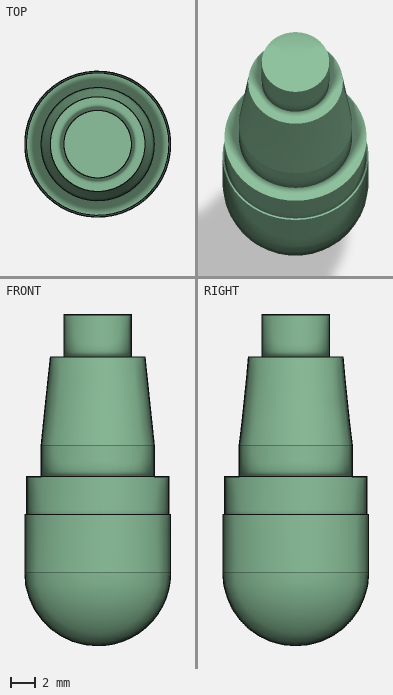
import cadquery as cq
import math

cap_diameter = 12.0
cap_radius = cap_diameter / 2
collar_radius = 5.85
sleeve_radius = 4.65
taper_top_radius = 3.9
stem_radius = 2.77

cap_top = 10.8
collar_top = 13.9
sleeve_top = 16.45
taper_top = 23.72
overall_height = 27.2


def make_domed_cap():
    """Solid cylindrical cap with a hemispherical lower end."""
    dome_center = cap_radius
    dome_mid = cap_radius * math.sin(math.radians(45))
    profile = (
        cq.Workplane("XZ")
        .moveTo(0, 0)
        .threePointArc((dome_mid, dome_center - dome_mid), (cap_radius, dome_center))
        .lineTo(cap_radius, cap_top)
        .lineTo(0, cap_top)
        .close()
    )
    return profile.revolve(360, (0, 0), (0, 1))


def make_stepped_body():
    """Collar, sleeve, tapered neck and end stem, standing on the cap."""
    profile = cq.Workplane("XZ").polyline([
        (0, cap_top),
        (collar_radius, cap_top),
        (collar_radius, collar_top),
        (sleeve_radius, collar_top),
        (sleeve_radius, sleeve_top),
        (taper_top_radius, taper_top),
        (stem_radius, taper_top),
        (stem_radius, overall_height),
        (0, overall_height),
    ]).close()
    return profile.revolve(360, (0, 0), (0, 1))


domed_cap = make_domed_cap()
stepped_body = make_stepped_body()

result = cq.Compound.makeCompound([domed_cap.val(), stepped_body.val()])